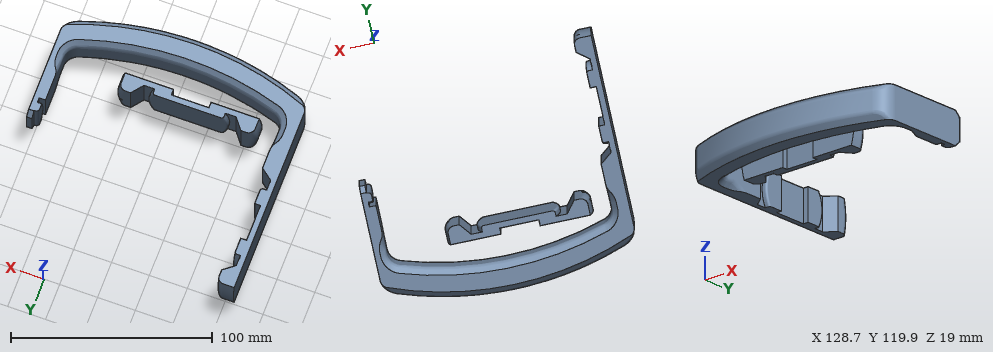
import cadquery as cq
import math

WIDTH = 128.7
DEPTH = 119.9
HEIGHT = 19.0
HALF_WIDTH = WIDTH / 2
HALF_HEIGHT = HEIGHT / 2

FRONT_RADIUS = 168.5
FRONT_CORNER_RADIUS = 10.2
INNER_FRONT_Y = 15.3
INNER_RADIUS = 166.0
INNER_CORNER_RADIUS = 7.5
FRONT_BEVEL = 3.3
FRONT_BEVEL_BLEND = 2.6
INNER_BEVEL = 3.2
INNER_BEVEL_BLEND = 3.1
INNER_BEVEL_END_Y = 44.0

CLIP_FLOOR = 3.1
CLIP_PAD_TOP = 2 * CLIP_FLOOR
CLIP_HEAD_TOP = 9.1
CLIP_HALF_LENGTH = 36.9
CLIP_VALLEY_FLOOR = 24.3
CLIP_VALLEY_TOP = 29.1
CLIP_PAD_HALF_LENGTH = 21.0
CLIP_SLOT_WIDTH = 19.8
HEAD_ROUND = 3.3
PAD_ROUND = 1.2
PAD_CROWN = 2.3
LOOSE_CLIP_CROWN = 1.5
ARM_CLIP_CROWN = 1.0

LOOSE_CLIP_X = -9.1
LOOSE_CLIP_Y = 29.7
ARM_CLIP_Y = DEPTH - CLIP_HALF_LENGTH

SHORT_ARM_THICKNESS = 6.2
SHORT_ARM_Y = 57.1
TONGUE_THICKNESS = 2.8
TONGUE_Y = 67.7
TONGUE_CHAMFER = 3.1
HOOK_THICKNESS = 5.1
HOOK_START_Y = 57.5
HOOK_END_Y = 64.3
HOOK_CROWN = 2.0
HOOK_ROUND = 1.7
HOOK_TIP_ROUND = 0.8

TOLERANCE = 0.1

LONG_ARM_INNER_X = CLIP_HEAD_TOP - HALF_WIDTH
SHORT_ARM_INNER_X = HALF_WIDTH - SHORT_ARM_THICKNESS
SIDE_WALL_END_Y = ARM_CLIP_Y - CLIP_VALLEY_TOP


def arc_y(front_y, radius, x):
    """Y on a bowed arc centred on X = 0 whose lowest point is front_y."""
    return front_y + radius - math.sqrt(radius**2 - x**2)


def bowed_outline(left, right, front_y, radius, end):
    """Closed XY outline: bowed front, straight sides up to Y = end."""
    return (
        cq.Workplane("XY", origin=(0, 0, -HALF_HEIGHT))
        .moveTo(left, end)
        .lineTo(left, arc_y(front_y, radius, left))
        .threePointArc((0, front_y), (right, arc_y(front_y, radius, right)))
        .lineTo(right, end)
        .close()
    )


def crowned_bar(start, end, start_crown, end_crown, bottom, top):
    """Bar along X from start to end; a crown bulges an end out at mid height."""
    profile = cq.Workplane("XZ", origin=(0, bottom, 0)).moveTo(start + start_crown, -HALF_HEIGHT)
    profile = profile.lineTo(end - end_crown, -HALF_HEIGHT)
    if end_crown:
        profile = profile.threePointArc((end, 0), (end - end_crown, HALF_HEIGHT))
    else:
        profile = profile.lineTo(end, HALF_HEIGHT)
    profile = profile.lineTo(start + start_crown, HALF_HEIGHT)
    if start_crown:
        profile = profile.threePointArc((start, 0), (start + start_crown, -HALF_HEIGHT))
    return profile.close().extrude(bottom - top)


def clip_blank(end_crown):
    """Clip centred on X = 0 with its back on Y = 0: two heads and a raised pad."""
    blank = crowned_bar(-CLIP_HALF_LENGTH, CLIP_HALF_LENGTH, end_crown, end_crown, 0, CLIP_HEAD_TOP)
    blank = blank.faces(">Y").edges("%CIRCLE").fillet(HEAD_ROUND)
    valley = (
        cq.Workplane("XY")
        .polyline([
            (-CLIP_VALLEY_FLOOR, CLIP_FLOOR),
            (CLIP_VALLEY_FLOOR, CLIP_FLOOR),
            (CLIP_VALLEY_TOP, CLIP_HEAD_TOP),
            (-CLIP_VALLEY_TOP, CLIP_HEAD_TOP),
        ])
        .close()
        .extrude(HALF_HEIGHT, both=True)
    )
    pad = crowned_bar(
        -CLIP_PAD_HALF_LENGTH, CLIP_PAD_HALF_LENGTH, PAD_CROWN, PAD_CROWN, 0, CLIP_PAD_TOP
    )
    pad = pad.faces(">Y").edges("%CIRCLE").fillet(PAD_ROUND)
    return blank.cut(valley).union(pad)


def clip_slot(bottom):
    """Cutter for the slot across the middle of a clip, one floor thickness deep."""
    return cq.Workplane("XY").box(CLIP_SLOT_WIDTH, CLIP_FLOOR, HEIGHT).translate(
        (0, bottom + CLIP_FLOOR / 2, 0)
    )


def make_loose_clip():
    clip = clip_blank(LOOSE_CLIP_CROWN).cut(clip_slot(0))
    return clip.translate((LOOSE_CLIP_X, LOOSE_CLIP_Y, 0))


def make_long_arm_clip():
    """Clip turned to face +X, its back flush with the outside of the long arm."""
    clip = clip_blank(ARM_CLIP_CROWN).cut(clip_slot(CLIP_FLOOR))
    return clip.rotate((0, 0, 0), (0, 0, 1), -90).translate((-HALF_WIDTH, ARM_CLIP_Y, 0))


def bar_along_y(bar):
    """Turn a bar along X so that it runs along Y, its back on the outside of the short arm."""
    return bar.rotate((0, 0, 0), (0, 0, 1), 90).translate((HALF_WIDTH, 0, 0))


def make_short_arm_end():
    """Rest of the short arm beyond the bow: plain wall, tongue and hook."""
    wall = crowned_bar(SIDE_WALL_END_Y, SHORT_ARM_Y, 0, 0, 0, SHORT_ARM_THICKNESS)
    tongue = crowned_bar(SHORT_ARM_Y, TONGUE_Y, 0, 0, 0, TONGUE_THICKNESS)
    tongue = tongue.faces(">X").edges("|Y").chamfer(TONGUE_CHAMFER)
    hook = crowned_bar(HOOK_START_Y, HOOK_END_Y, HOOK_CROWN, 0, 0, HOOK_THICKNESS)
    hook = hook.faces(">Y").edges(">X").fillet(HOOK_ROUND)
    hook = hook.faces(">Y").edges("%CIRCLE").fillet(HOOK_TIP_ROUND)
    return bar_along_y(wall.union(tongue).union(hook))


def front_bevel_limit():
    """Disc about the bow's centre whose rim bevels the front edges."""
    bevel_start = HALF_HEIGHT - FRONT_BEVEL
    rim_radius = FRONT_RADIUS - FRONT_BEVEL
    disc = (
        cq.Workplane("XZ")
        .polyline([
            (0, -HALF_HEIGHT),
            (rim_radius, -HALF_HEIGHT),
            (FRONT_RADIUS, -bevel_start),
            (FRONT_RADIUS, bevel_start),
            (rim_radius, HALF_HEIGHT),
            (0, HALF_HEIGHT),
        ])
        .close()
        .revolve(360, (0, 0, 0), (0, 1, 0))
    )
    return disc.translate((0, FRONT_RADIUS, 0))


def inner_bevel():
    """Cutter for the bevel on the upper inside edge, running out along the walls."""
    return (
        bowed_outline(
            LONG_ARM_INNER_X - INNER_BEVEL, SHORT_ARM_INNER_X + INNER_BEVEL,
            INNER_FRONT_Y - INNER_BEVEL, INNER_RADIUS + INNER_BEVEL, INNER_BEVEL_END_Y,
        )
        .extrude(HEIGHT)
        .edges("|Z")
        .fillet(INNER_CORNER_RADIUS + INNER_BEVEL)
        .faces(">Z")
        .wires()
        .toPending()
        .workplane()
        .extrude(-INNER_BEVEL, taper=45, combine=False)
    )


def edges_in_region(body, min_x, max_x, min_y, max_y):
    """Bevel edges centred in an XY region: neither upright nor on the top or bottom face."""
    region = cq.selectors.BoxSelector(
        (min_x - TOLERANCE, min_y, TOLERANCE - HALF_HEIGHT),
        (max_x + TOLERANCE, max_y, HALF_HEIGHT - TOLERANCE),
    )
    return body.edges("not |Z").edges(region)


def make_bow():
    """Bowed front bar with the plain lengths of both side walls."""
    outer = bowed_outline(-HALF_WIDTH, HALF_WIDTH, 0, FRONT_RADIUS, SIDE_WALL_END_Y).extrude(HEIGHT)
    outer = outer.edges("|Z and (not >Y)").fillet(FRONT_CORNER_RADIUS)
    outer = outer.intersect(front_bevel_limit())
    outer = edges_in_region(
        outer, -HALF_WIDTH, HALF_WIDTH, -TOLERANCE, INNER_BEVEL_END_Y
    ).fillet(FRONT_BEVEL_BLEND)

    opening = bowed_outline(
        LONG_ARM_INNER_X, SHORT_ARM_INNER_X, INNER_FRONT_Y, INNER_RADIUS, SIDE_WALL_END_Y
    ).extrude(HEIGHT)
    opening = opening.edges("|Z and (not >Y)").fillet(INNER_CORNER_RADIUS)
    upper_bevel = inner_bevel()
    bow = outer.cut(opening).cut(upper_bevel).cut(upper_bevel.mirror("XY"))
    return edges_in_region(
        bow, LONG_ARM_INNER_X, SHORT_ARM_INNER_X, INNER_FRONT_Y, INNER_BEVEL_END_Y
    ).fillet(INNER_BEVEL_BLEND)


def make_frame():
    return make_bow().union(make_long_arm_clip()).union(make_short_arm_end())


frame = make_frame()
loose_clip = make_loose_clip()
result = cq.Compound.makeCompound([*frame.solids().vals(), *loose_clip.solids().vals()])